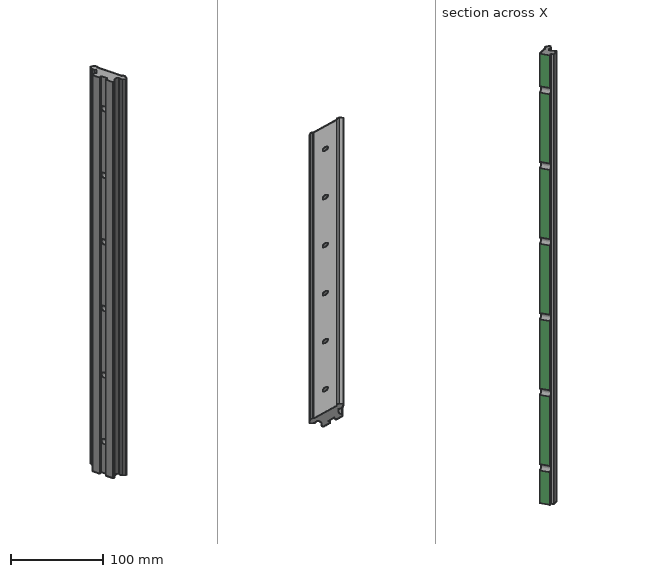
import cadquery as cq

length = 536.0
width = 44.5
depth = 16.0

tip_y = 4.55
tip_flat = 1.5
wing_outer_x = 19.0
wing_inner_x = 16.0
wing_front_y = 1.4
back_recess = 1.0
recess_end_x = 15.0

neck_top_x = 14.0
neck_top_y = 2.0
neck_x = 12.0

foot_x = 13.5
foot_top_y = -5.5
foot_chamfer = 1.0
slot_half_width = 4.0
slot_depth = 3.0

hole_diameter = 7.0
hole_count = 6
hole_pitch = 90.0

half_width = width / 2
back_y = depth / 2
front_y = -depth / 2


def make_half_bar():
    """Right half, outlined from the back centre around to the slot centre."""
    return (
        cq.Workplane("XY")
        .moveTo(0, back_y - back_recess)
        .lineTo(recess_end_x, back_y - back_recess)
        .lineTo(wing_inner_x, back_y)
        .lineTo(wing_outer_x, back_y)
        .lineTo(half_width, tip_y + tip_flat / 2)
        .lineTo(half_width, tip_y - tip_flat / 2)
        .lineTo(wing_outer_x, wing_front_y)
        .lineTo(wing_inner_x, wing_front_y)
        .lineTo(neck_top_x, neck_top_y)
        .threePointArc((neck_x, (neck_top_y + foot_top_y) / 2), (foot_x, foot_top_y))
        .lineTo(foot_x, front_y + foot_chamfer)
        .lineTo(foot_x - foot_chamfer, front_y)
        .lineTo(slot_half_width, front_y)
        .lineTo(slot_half_width, front_y + slot_depth)
        .lineTo(0, front_y + slot_depth)
        .close()
        .extrude(length)
    )


def make_bar():
    """Join the right half to its mirror image."""
    half = make_half_bar()
    return half.union(half.mirror("YZ")).clean()


def make_holes():
    """Round through holes along Y, evenly spaced on the centre line."""
    end_margin = (length - (hole_count - 1) * hole_pitch) / 2
    centres = [(0, end_margin + i * hole_pitch) for i in range(hole_count)]
    return (
        cq.Workplane("XZ")
        .pushPoints(centres)
        .circle(hole_diameter / 2)
        .extrude(depth, both=True)
    )


result = make_bar().cut(make_holes())